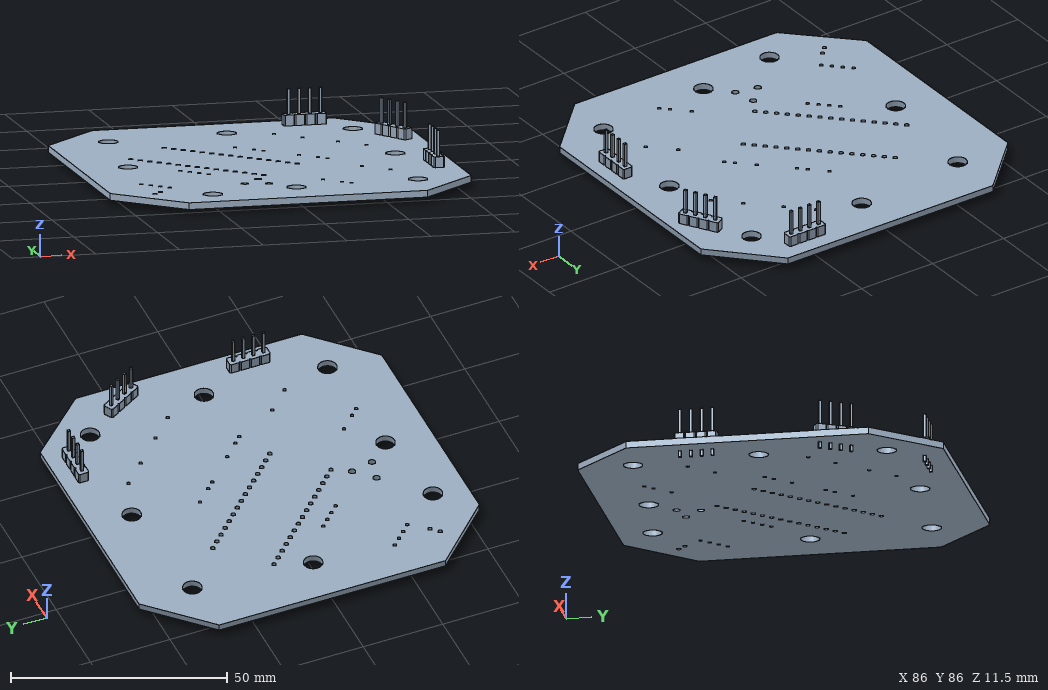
import cadquery as cq
import math

BOARD_SIZE = 86.0
BOARD_THICKNESS = 1.6
HALF_BOARD = BOARD_SIZE / 2
CORNER_CUT = 14.1
WIDE_CORNER_CUT = 15.0

MOUNT_HOLE_DIAMETER = 4.5
MOUNT_CIRCLE_RADIUS = 31.9
MOUNT_CIRCLE_CENTER = (0.5, 0.3)
CORNER_MOUNT_HOLES = [(-28.5, 29.4), (30.0, 29.9), (30.0, -29.75), (-20.2, -34.7)]

SOCKET_HOLE_DIAMETER = 1.0
SOCKET_HOLE_COUNT = 15
SOCKET_ROW_LENGTH = 35.6
SOCKET_ROW_STARTS = [(-17.7, 19.6), (-28.5, 8.9)]
SOCKET_STEPS = [(along, 0) for along in range(SOCKET_HOLE_COUNT)]
PITCH = SOCKET_ROW_LENGTH / (SOCKET_HOLE_COUNT - 1)
DIAGONAL_STEP = PITCH / math.sqrt(2)

ROW_GAP = 7

FIVE_LEAD_DIAMETER = 0.765
FIVE_LEAD_STARTS = [(10.8, 28.55), (23.0, 16.5), (21.2, -12.1)]
FIVE_LEAD_STEPS = [(0, 0), (3, 0), (0, ROW_GAP), (2, ROW_GAP), (3, ROW_GAP)]

EIGHT_LEAD_DIAMETER = 0.8
EIGHT_LEAD_START = (-20.7, -6.9)
EIGHT_LEAD_STEPS = [(along, across) for across in (0, ROW_GAP) for along in range(4)]

TWO_LEAD_DIAMETER = 0.95
TWO_LEAD_START = (-31.3, -29.15)
TWO_LEAD_STEPS = [(0, 0), (0, 1)]

JACK_HOLE_DIAMETER = 1.6
JACK_HOLES = [(-5.8, -20.55), (-10.1, -24.85), (-4.6, -26.1)]

HEADER_PIN_COUNT = 4
HEADER_HEIGHT = PITCH
HEADER_CHAMFER = 0.28
PIN_WIDTH = 0.64
PIN_LENGTH = 11.5
PIN_BOTTOM = -1.4
HEADER_PLACES = [(20.5, 37.75, 0), (36.9, 19.2, -60), (38.1, -13.3, -90)]


def diagonal_points(start, steps):
    """Grid points: 'along' runs towards +X -Y, 'across' towards -X -Y, both in pitches."""
    x, y = start
    return [
        (x + (along - across) * DIAGONAL_STEP, y - (along + across) * DIAGONAL_STEP)
        for along, across in steps
    ]


def mount_holes():
    x, y = MOUNT_CIRCLE_CENTER
    r = MOUNT_CIRCLE_RADIUS
    return [(x + r, y), (x, y + r), (x - r, y), (x, y - r)] + CORNER_MOUNT_HOLES


def pin_offsets():
    """Pin positions along the header, measured from its centre."""
    return [((i - (HEADER_PIN_COUNT - 1) / 2) * PITCH, 0) for i in range(HEADER_PIN_COUNT)]


def place_header_part(shape, place):
    x, y, turn = place
    return shape.rotate((0, 0, 0), (0, 0, 1), turn).translate((x, y, 0))


def make_pins():
    return (
        cq.Workplane("XY", origin=(0, 0, PIN_BOTTOM))
        .pushPoints(pin_offsets())
        .rect(PIN_WIDTH, PIN_WIDTH)
        .extrude(PIN_LENGTH)
    )


def make_header(place):
    """Plastic strip of bevelled blocks, one per pin, fixed to its square pins."""
    strip = cq.Workplane("XY", origin=(0, 0, BOARD_THICKNESS))
    for x, y in pin_offsets():
        block = (
            cq.Workplane("XY", origin=(x, y, BOARD_THICKNESS))
            .rect(PITCH, PITCH)
            .extrude(HEADER_HEIGHT)
            .edges("|Z")
            .chamfer(HEADER_CHAMFER)
        )
        strip = strip.union(block)
    return place_header_part(strip.union(make_pins()), place)


def drill(board, points, diameter):
    return board.cut(
        cq.Workplane("XY").pushPoints(points).circle(diameter / 2).extrude(BOARD_THICKNESS)
    )


def make_board():
    h = HALF_BOARD
    outline = [
        (-h + CORNER_CUT, h),
        (h - CORNER_CUT, h),
        (h, h - WIDE_CORNER_CUT),
        (h, -h + CORNER_CUT),
        (h - CORNER_CUT, -h),
        (-h + WIDE_CORNER_CUT, -h),
        (-h, -h + WIDE_CORNER_CUT),
        (-h, h - CORNER_CUT),
    ]
    board = cq.Workplane("XY").polyline(outline).close().extrude(BOARD_THICKNESS)

    board = drill(board, mount_holes(), MOUNT_HOLE_DIAMETER)

    for start in SOCKET_ROW_STARTS:
        board = drill(board, diagonal_points(start, SOCKET_STEPS), SOCKET_HOLE_DIAMETER)

    for start in FIVE_LEAD_STARTS:
        board = drill(board, diagonal_points(start, FIVE_LEAD_STEPS), FIVE_LEAD_DIAMETER)

    board = drill(board, diagonal_points(EIGHT_LEAD_START, EIGHT_LEAD_STEPS), EIGHT_LEAD_DIAMETER)
    board = drill(board, diagonal_points(TWO_LEAD_START, TWO_LEAD_STEPS), TWO_LEAD_DIAMETER)
    board = drill(board, JACK_HOLES, JACK_HOLE_DIAMETER)

    for place in HEADER_PLACES:
        board = board.cut(place_header_part(make_pins(), place))
    return board


board = make_board()
headers = [make_header(place) for place in HEADER_PLACES]

result = cq.Compound.makeCompound([board.val(), *[header.val() for header in headers]])